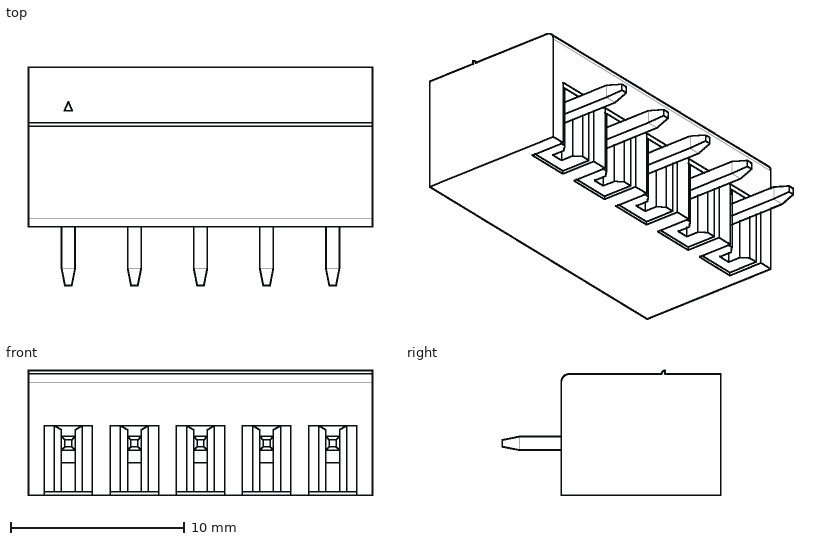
import cadquery as cq

pin_count = 5
pin_pitch = 3.8
housing_length = 19.84
housing_depth = 9.2
housing_height = 7.0
front_edge_radius = 0.5

rib_radius = 0.2
rib_back_setback = 3.21

mark_width = 0.45
mark_length = 0.52
mark_apex_setback = 2.0
mark_depth = 0.1

pin_size = 0.8
pin_center_height = 3.0
pin_reach = 3.4
pin_tip_length = 1.0
pin_tip_size = 0.4

recess_width = 2.78
recess_height = 4.0
shelf_depth = 0.35
throat_width = 1.6
throat_depth = (throat_width - pin_size) / 2
channel_depth = 1.59
base_relief = 0.2
ceiling_run = 1.07
floor_chamfer = 0.71

pin_top = pin_center_height + pin_size / 2
pin_bottom = pin_center_height - pin_size / 2
throat_end = shelf_depth + throat_depth
channel_end = channel_depth + floor_chamfer
pin_positions = [(i - (pin_count - 1) / 2) * pin_pitch for i in range(pin_count)]


def side_profile(points, width, x_center):
    """Extrude a closed (y, z) outline symmetrically about x_center."""
    outline = cq.Workplane("YZ", origin=(x_center, 0, 0)).polyline(points).close()
    return outline.extrude(width / 2, both=True)


def make_housing():
    block = cq.Workplane("XY").box(
        housing_length, housing_depth, housing_height, centered=(True, False, False)
    )
    return block.edges("<Y and >Z").fillet(front_edge_radius)


def make_rib():
    back_y = housing_depth - rib_back_setback
    profile = (
        cq.Workplane("YZ", origin=(-housing_length / 2, back_y, housing_height))
        .lineTo(0, rib_radius)
        .radiusArc((-rib_radius, 0), -rib_radius)
        .close()
    )
    return profile.extrude(housing_length)


def make_mark():
    apex_y = housing_depth - mark_apex_setback
    base_y = apex_y - mark_length
    half_width = mark_width / 2
    outline = cq.Workplane("XY", origin=(pin_positions[0], 0, housing_height)).polyline(
        [(0, apex_y), (-half_width, base_y), (half_width, base_y)]
    )
    return outline.close().extrude(-mark_depth)


def make_recess(x):
    half_recess = recess_width / 2
    half_throat = throat_width / 2
    half_channel = pin_size / 2
    plan = [
        (half_recess, 0),
        (half_recess, shelf_depth),
        (half_throat, shelf_depth),
        (half_channel, throat_end),
        (half_channel, channel_end),
    ]
    mirrored_plan = [(-px, py) for px, py in reversed(plan)]
    outline = cq.Workplane("XY", origin=(x, 0, 0)).polyline(plan + mirrored_plan).close()
    opening = outline.extrude(recess_height)

    section = [
        (0, 0),
        (0, recess_height),
        (shelf_depth, recess_height),
        (shelf_depth + ceiling_run, pin_top),
        (channel_end, pin_top),
        (channel_end, pin_bottom),
        (channel_depth, pin_bottom - floor_chamfer),
        (channel_depth, 0),
    ]
    recess = opening.intersect(side_profile(section, recess_width, x))
    relief = cq.Workplane("XY", origin=(x, 0, 0)).box(
        recess_width, channel_end, base_relief, centered=(True, False, False)
    )
    return recess.union(relief)


def make_pin(x):
    shoulder_y = pin_tip_length - pin_reach
    shaft = (
        cq.Workplane("XZ", origin=(x, shoulder_y, pin_center_height))
        .rect(pin_size, pin_size)
        .extrude(-(channel_end - shoulder_y))
    )
    tip = (
        cq.Workplane("XZ", origin=(x, shoulder_y, pin_center_height))
        .rect(pin_size, pin_size)
        .workplane(offset=pin_tip_length)
        .rect(pin_tip_size, pin_tip_size)
        .loft(ruled=True)
    )
    return shaft.union(tip)


result = make_housing().union(make_rib()).cut(make_mark())
for pin_x in pin_positions:
    result = result.cut(make_recess(pin_x)).union(make_pin(pin_x))